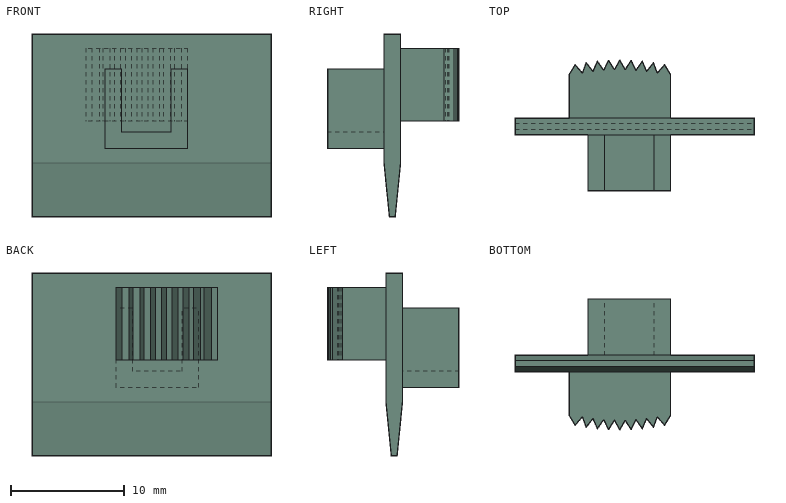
import cadquery as cq
import math

plate_width = 21.02
plate_height = 16.08
plate_thickness = 1.47
taper_height = 4.73
tip_thickness = 0.53

bracket_right = 13.66
bracket_width = 7.27
bracket_height = 7.0
bracket_length = 4.95
bracket_wall = 1.47
bracket_top_gap = 3.07
bracket_top = plate_height - bracket_top_gap

block_width = 8.93
block_height = 6.4
block_length = 5.1
block_top_gap = 1.26
block_top = plate_height - block_top_gap
shoulder_drop = 1.28
shoulder_length = block_length - shoulder_drop

tooth_count = 9
tooth_angle = math.radians(3.0)
tip_radius = 18.92
tooth_depth = 0.85
valley_radius = tip_radius - tooth_depth


def make_plate():
    """Flat plate whose lower end tapers symmetrically to a thin edge."""
    tip_inset = (plate_thickness - tip_thickness) / 2
    profile = [
        (tip_inset, 0),
        (plate_thickness - tip_inset, 0),
        (plate_thickness, taper_height),
        (plate_thickness, plate_height),
        (0, plate_height),
        (0, taper_height),
    ]
    return cq.Workplane("YZ").polyline(profile).close().extrude(plate_width)


def make_bracket():
    """U-shaped bracket projecting forward from the plate."""
    left = bracket_right - bracket_width
    bottom = bracket_top - bracket_height
    body = cq.Workplane("XY").box(bracket_width, bracket_length, bracket_height, centered=False)
    slot = (
        cq.Workplane("XY")
        .box(bracket_width - 2 * bracket_wall, bracket_length, bracket_height, centered=False)
        .translate((bracket_wall, 0, bracket_wall))
    )
    return body.cut(slot).translate((left, -bracket_length, bottom))


def make_toothed_block():
    """Block projecting backward, with a crowned row of teeth at its end."""
    center_x = bracket_right - block_width / 2
    arc_center_y = plate_thickness + block_length - tip_radius
    left = center_x - block_width / 2
    shoulder_y = plate_thickness + shoulder_length

    outline = [(left, plate_thickness), (left, shoulder_y)]
    for step in range(2 * tooth_count - 1):
        angle = (step - (tooth_count - 1)) * tooth_angle / 2
        radius = tip_radius if step % 2 == 0 else valley_radius
        x = center_x + radius * math.sin(angle)
        y = arc_center_y + radius * math.cos(angle)
        outline.append((x, y))
    outline += [(bracket_right, shoulder_y), (bracket_right, plate_thickness)]

    return (
        cq.Workplane("XY")
        .workplane(offset=block_top - block_height)
        .polyline(outline)
        .close()
        .extrude(block_height)
    )


result = make_plate().union(make_bracket()).union(make_toothed_block())